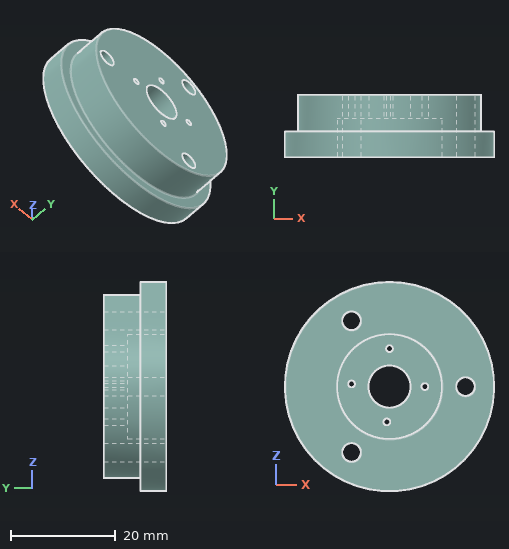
import cadquery as cq
import math

flange_diameter = 40.0
flange_thickness = 5.0
spigot_diameter = 35.0
total_length = 12.0
pocket_diameter = 20.0
pocket_depth = 7.5
bore_diameter = 8.0
edge_radius = 0.15

mount_hole_count = 3
mount_hole_diameter = 3.5
mount_circle_radius = 14.5

pin_hole_count = 4
pin_hole_diameter = 1.25
pin_circle_radius = 7.0
pin_center_x = -0.25
pin_center_z = 0.25
pin_start_angle = -math.degrees(math.asin(pin_center_z / pin_circle_radius))


def cylinder(diameter, length, x=0.0, z=0.0):
    """Solid cylinder that runs from Y = 0 toward +Y."""
    start = cq.Vector(x, 0, z)
    along_y = cq.Vector(0, 1, 0)
    return cq.Workplane(cq.Solid.makeCylinder(diameter / 2, length, start, along_y))


def circle_points(count, radius, start_angle=0.0, center_x=0.0, center_z=0.0):
    """Evenly spaced (x, z) points on a circle."""
    points = []
    for index in range(count):
        angle = math.radians(start_angle + index * 360.0 / count)
        x = center_x + radius * math.cos(angle)
        z = center_z + radius * math.sin(angle)
        points.append((x, z))
    return points


def make_body():
    """Flange and spigot, with every outer edge and the spigot root rounded."""
    flange = cylinder(flange_diameter, flange_thickness)
    spigot = cylinder(spigot_diameter, total_length)
    return flange.union(spigot).edges("%CIRCLE").fillet(edge_radius)


def cut_holes(body, points, diameter):
    """Drill a through hole at each point."""
    for x, z in points:
        body = body.cut(cylinder(diameter, total_length, x, z))
    return body


def round_face_openings(body):
    """Round the mouths of the pocket and mounting holes in the flange face."""
    opening_edges = []
    for wire in body.faces("<Y").val().innerWires():
        opening_edges.extend(wire.Edges())
    return body.newObject(opening_edges).fillet(edge_radius)


mount_points = circle_points(mount_hole_count, mount_circle_radius)
pin_points = circle_points(pin_hole_count, pin_circle_radius, pin_start_angle, pin_center_x, pin_center_z)

body = make_body()
body = body.cut(cylinder(pocket_diameter, pocket_depth))
body = cut_holes(body, mount_points, mount_hole_diameter)
body = round_face_openings(body)
body = body.cut(cylinder(bore_diameter, total_length))
result = cut_holes(body, pin_points, pin_hole_diameter)